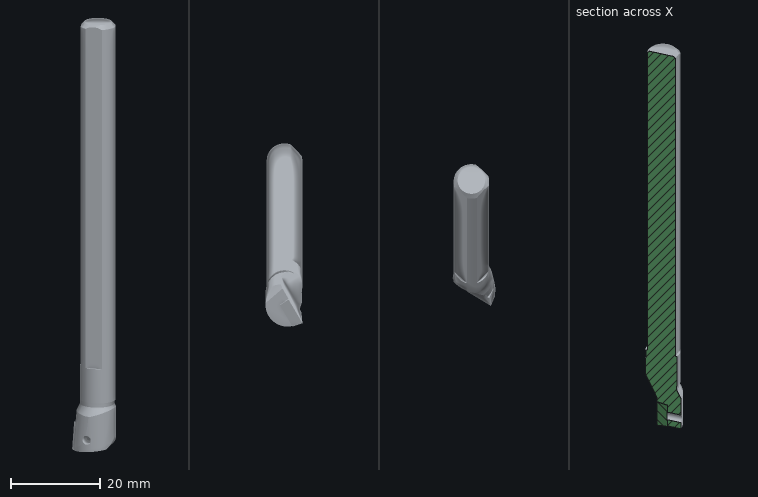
import cadquery as cq
import math

LENGTH = 100.0
SHANK_RADIUS = 4.0
TOP_CHAMFER = 0.9
FLAT_DISTANCE = 3.5
FLAT_BOTTOM = 20.0
COLLAR_BOTTOM = 12.0

NECK_X = -0.15
NECK_RADIUS = 3.85
FLARE_TOP = 11.0
FLARE_BOTTOM = 9.0
FLARE_RADIUS = 4.8

HEAD_RADIUS = 4.8
HEAD_X = SHANK_RADIUS - HEAD_RADIUS
RELIEF_MARGIN = 0.09
RELIEF_RADIUS = HEAD_RADIUS + RELIEF_MARGIN
RELIEF_LEAN = 5.9
RELIEF_OVERRUN = 2.0
END_LEFT_Z = 0.2
END_RIGHT = (2.8, 1.2)
END_ARC_MIDDLE = (3.5, 2.1)
END_ARC_TOP = 3.9

TIP_X = -6.0
RAKE_ANGLE = 12.4
EDGE_LEAN = 4.0
INSERT_SIDE = 6.3
INSERT_THICKNESS = 2.4
INSERT_RELIEF = 7.0
POCKET_KNEE_Z = 7.7
POCKET_TOP_Z = 16.0
POCKET_SLOPE = 0.5
SCREW_HOLE_DIAMETER = 2.0
SCREW_HOLE_DEPTH = 10.0
SCREW_X = -1.3
SCREW_Z = 3.5
POCKET_OVERRUN = 1.0
CUTTER_REACH = 20.0


def tilt(body):
    """Turn a body drawn with its rake face on XZ to the rake angle and move it to the tip."""
    return body.rotate((0, 0, 0), (0, 0, 1), RAKE_ANGLE).translate((TIP_X, 0, 0))


def make_shank():
    shank = (
        cq.Workplane("XY", origin=(0, 0, COLLAR_BOTTOM))
        .circle(SHANK_RADIUS)
        .extrude(LENGTH - COLLAR_BOTTOM)
        .faces(">Z")
        .chamfer(TOP_CHAMFER)
    )
    cutter = (
        cq.Workplane("XY", origin=(FLAT_DISTANCE, 0, FLAT_BOTTOM))
        .rect(SHANK_RADIUS, 2 * SHANK_RADIUS)
        .extrude(LENGTH - FLAT_BOTTOM)
        .translate((SHANK_RADIUS / 2, 0, 0))
    )
    for angle in (90, 180, 270):
        shank = shank.cut(cutter.rotate((0, 0, 0), (0, 0, 1), angle))
    return shank


def make_neck():
    return (
        cq.Workplane("XZ")
        .polyline([
            (0, FLARE_BOTTOM),
            (FLARE_RADIUS, FLARE_BOTTOM),
            (NECK_RADIUS, FLARE_TOP),
            (NECK_RADIUS, COLLAR_BOTTOM),
            (0, COLLAR_BOTTOM),
        ])
        .close()
        .revolve(360, (0, 0, 0), (0, 1, 0))
        .translate((NECK_X, 0, 0))
    )


def make_head():
    head = cq.Workplane("XY").center(HEAD_X, 0).circle(HEAD_RADIUS).extrude(COLLAR_BOTTOM)
    relief = (
        cq.Workplane("XY", origin=(0, 0, -RELIEF_OVERRUN))
        .circle(RELIEF_RADIUS)
        .extrude(COLLAR_BOTTOM + 2 * RELIEF_OVERRUN)
        .rotate((0, 0, 0), (0, 1, 0), RELIEF_LEAN)
        .translate((HEAD_X, 0, 0))
    )
    end_outline = (
        cq.Workplane("XZ")
        .moveTo(TIP_X, END_LEFT_Z)
        .lineTo(*END_RIGHT)
        .threePointArc(END_ARC_MIDDLE, (SHANK_RADIUS, END_ARC_TOP))
        .lineTo(CUTTER_REACH, END_ARC_TOP)
        .lineTo(CUTTER_REACH, COLLAR_BOTTOM)
        .lineTo(TIP_X, COLLAR_BOTTOM)
        .close()
        .extrude(CUTTER_REACH / 2, both=True)
    )
    flare_envelope = (
        cq.Workplane("XY", origin=(NECK_X, 0, 0))
        .circle(CUTTER_REACH)
        .extrude(FLARE_BOTTOM)
        .union(make_neck())
    )
    return head.intersect(relief).intersect(end_outline).intersect(flare_envelope)


def make_chip_pocket():
    rise = POCKET_TOP_Z - POCKET_KNEE_Z
    top_depth = POCKET_SLOPE * rise * math.cos(math.radians(RAKE_ANGLE))
    pocket = (
        cq.Workplane("YZ")
        .polyline([
            (0, -POCKET_OVERRUN),
            (0, POCKET_KNEE_Z),
            (top_depth, POCKET_TOP_Z),
            (CUTTER_REACH, POCKET_TOP_Z),
            (CUTTER_REACH, -POCKET_OVERRUN),
        ])
        .close()
        .extrude(CUTTER_REACH, both=True)
    )
    return tilt(pocket)


def rhombus(side, corner, depth):
    """Rhombus outline with both edges at a corner leaning inwards, at a depth below the rake face."""
    long_step = side * math.cos(math.radians(EDGE_LEAN))
    short_step = side * math.sin(math.radians(EDGE_LEAN))
    return (
        cq.Workplane("XZ", origin=(corner, -depth, corner))
        .polyline([
            (0, 0),
            (long_step, short_step),
            (long_step + short_step, long_step + short_step),
            (short_step, long_step),
        ])
        .close()
        .val()
    )


def make_insert():
    """Rhombic insert with relieved flanks."""
    lean = math.radians(EDGE_LEAN)
    inset = INSERT_THICKNESS * math.tan(math.radians(INSERT_RELIEF))
    base_side = INSERT_SIDE - 2 * inset / math.cos(2 * lean)
    base_corner = inset / (math.cos(lean) - math.sin(lean))
    rake_outline = rhombus(INSERT_SIDE, 0, 0)
    base_outline = rhombus(base_side, base_corner, INSERT_THICKNESS)
    return tilt(cq.Workplane(cq.Solid.makeLoft([rake_outline, base_outline], True)))


def make_screw_hole():
    return (
        cq.Workplane("XZ")
        .center(SCREW_X, SCREW_Z)
        .circle(SCREW_HOLE_DIAMETER / 2)
        .extrude(SCREW_HOLE_DEPTH)
    )


insert = make_insert()
holder = make_shank().union(make_head()).cut(make_chip_pocket()).cut(make_screw_hole()).cut(insert)

result = cq.Compound.makeCompound([holder.val(), insert.val()])